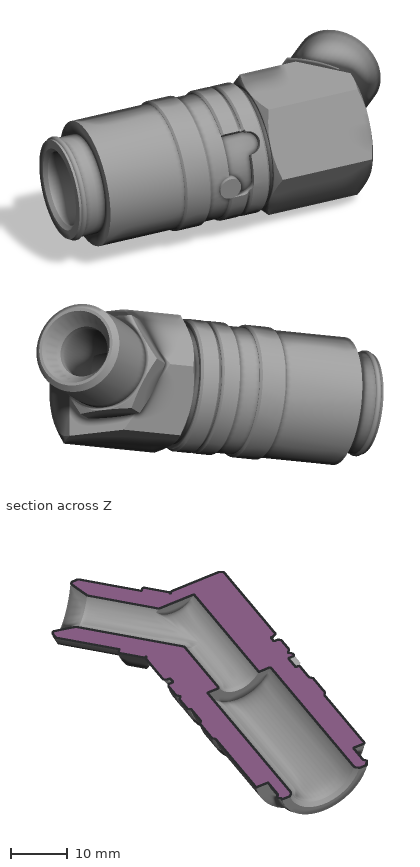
import cadquery as cq
import math


TOTAL_LENGTH = 66.55

BEAD_Y = 0.9
SPIGOT_END = 4.9
COLLAR_START = 19.2
COLLAR_END = 24.3
SLEEVE_START = 27.8
GROOVE_START = 31.5
GROOVE_END = 31.75
SLEEVE_END = 35.4
HEX_START = 36.4
HEX_END = 55.45

SPIGOT_R = 9.0
BODY_R = 11.3
COLLAR_DIAMETER = 23.5
COLLAR_R = COLLAR_DIAMETER / 2
WAIST_R = 11.25
CORE_R = 10.5
BEAD_R = 9.4
BEAD_WIRE_R = 0.5
EDGE_CHAMFER = 0.4

MOUTH_R = 7.4
SOCKET_R = 6.7
SOCKET_DEPTH = 29.95
PASSAGE_R = 4.5
PASSAGE_END = 52.65

BODY_FLATS = 21.95
NUT_FLATS = 17.0
HEX_SIDES = 6
HEX_CHAMFER_ANGLE = 30
BRANCH_ANGLE = 45
BEND_Y = 43.85
FACE_DISTANCE = 7.45
NUT_LENGTH = 5.1
BRANCH_R = 8.0
BRANCH_CHAMFER = 0.9
BRANCH_TIP_R = BRANCH_R - BRANCH_CHAMFER
TILT = math.radians(BRANCH_ANGLE)
BRANCH_LENGTH = (TOTAL_LENGTH - BEND_Y - BRANCH_TIP_R * math.sin(TILT)) / math.cos(TILT)
CONE_R = 6.5
CONE_DEPTH = 3.6

SLOT_HALF_WIDTH = 2.05
LOCK_ANGLE = 37
WINDOW_ANGLE = 49
ENTRY_TOP = 32.3
LOCK_TOP = 34.4
PIN_R = 2.0


def revolve_profile(points):
    """Turn (radius, height) points around the Y axis."""
    return cq.Workplane("XY").polyline(points).close().revolve(360, (0, 0, 0), (0, 1, 0))


def disc(radius, start, end):
    return revolve_profile([(0, start), (radius, start), (radius, end), (0, end)])


def chamfered_ring(start, end):
    """Collar-size disc whose two rims are bevelled."""
    rim_r = COLLAR_R - EDGE_CHAMFER
    return revolve_profile([
        (0, start),
        (rim_r, start),
        (COLLAR_R, start + EDGE_CHAMFER),
        (COLLAR_R, end - EDGE_CHAMFER),
        (rim_r, end),
        (0, end),
    ])


def chamfered_hex(flats, start, end):
    """Hexagon along Y, flats facing +Z and -Z, corners bevelled at both ends."""
    apothem = flats / 2
    corner_r = apothem / math.cos(math.pi / HEX_SIDES)
    bevel = (corner_r - apothem) * math.tan(math.radians(HEX_CHAMFER_ANGLE))
    prism = (
        cq.Workplane("XZ", origin=(0, start, 0))
        .polygon(HEX_SIDES, 2 * corner_r)
        .extrude(start - end)
    )
    envelope = revolve_profile([
        (0, start),
        (apothem, start),
        (corner_r, start + bevel),
        (corner_r, end - bevel),
        (apothem, end),
        (0, end),
    ])
    return prism.intersect(envelope)


def to_branch(shape):
    """Move a shape built along +Y from the origin onto the branch axis."""
    return shape.rotate((0, 0, 0), (0, 0, 1), BRANCH_ANGLE).translate((0, BEND_Y, 0))


def make_socket():
    socket = disc(SPIGOT_R, 0, SPIGOT_END)
    bead = (
        cq.Workplane("XY")
        .center(BEAD_R - BEAD_WIRE_R, BEAD_Y)
        .circle(BEAD_WIRE_R)
        .revolve(360, (BEAD_WIRE_R - BEAD_R, 0, 0), (BEAD_WIRE_R - BEAD_R, 1, 0))
    )
    return (
        socket.union(bead)
        .union(disc(BODY_R, SPIGOT_END, COLLAR_START))
        .union(chamfered_ring(COLLAR_START, COLLAR_END))
        .union(disc(WAIST_R, COLLAR_END, SLEEVE_START))
        .union(chamfered_ring(SLEEVE_START, GROOVE_START))
        .union(disc(WAIST_R, GROOVE_START, GROOVE_END))
        .union(chamfered_ring(GROOVE_END, SLEEVE_END))
        .union(disc(CORE_R, SLEEVE_END, HEX_START))
    )


def radial_slot(angle, top):
    """Round-topped slot running up from the sleeve edge, cut outwards at an angle from +X."""
    centre = top - SLOT_HALF_WIDTH
    slot = (
        cq.Workplane("YZ")
        .moveTo(SLEEVE_START, -SLOT_HALF_WIDTH)
        .lineTo(centre, -SLOT_HALF_WIDTH)
        .threePointArc((top, 0), (centre, SLOT_HALF_WIDTH))
        .lineTo(SLEEVE_START, SLOT_HALF_WIDTH)
        .close()
        .extrude(2 * COLLAR_R)
    )
    return slot.rotate((0, 0, 0), (0, 1, 0), -angle)


def make_bayonet_slot():
    """Entry slot at +X, lock slot turned towards +Z, and the wider window that joins them."""
    reach = 2 * COLLAR_R
    sweep = math.radians(WINDOW_ANGLE)
    window = (
        cq.Workplane("XZ", origin=(0, SLEEVE_START, 0))
        .polyline([(0, 0), (reach, 0), (reach * math.cos(sweep), reach * math.sin(sweep))])
        .close()
        .extrude(SLEEVE_START - ENTRY_TOP)
    )
    return (
        window.union(radial_slot(0, ENTRY_TOP))
        .union(radial_slot(LOCK_ANGLE, LOCK_TOP))
        .cut(disc(CORE_R, 0, HEX_END))
    )


def make_pin():
    return cq.Workplane("YZ").center(SLEEVE_START, 0).circle(PIN_R).extrude(COLLAR_R)


def make_elbow():
    """Hexagonal block cut off square to the branch axis."""
    beyond_face = cq.Workplane("XY").box(
        2 * HEX_END, HEX_END, HEX_END, centered=(True, False, True)
    )
    waste = to_branch(beyond_face.translate((0, FACE_DISTANCE, 0)))
    return chamfered_hex(BODY_FLATS, HEX_START, HEX_END).cut(waste)


def make_branch():
    nut = chamfered_hex(NUT_FLATS, FACE_DISTANCE, FACE_DISTANCE + NUT_LENGTH)
    nose = revolve_profile([
        (0, FACE_DISTANCE),
        (BRANCH_R, FACE_DISTANCE),
        (BRANCH_R, BRANCH_LENGTH - BRANCH_CHAMFER),
        (BRANCH_TIP_R, BRANCH_LENGTH),
        (0, BRANCH_LENGTH),
    ])
    return to_branch(nut.union(nose))


def make_socket_bore():
    mouth_depth = MOUTH_R - SOCKET_R
    return revolve_profile([
        (0, 0),
        (MOUTH_R, 0),
        (SOCKET_R, mouth_depth),
        (SOCKET_R, SOCKET_DEPTH),
        (PASSAGE_R, SOCKET_DEPTH),
        (PASSAGE_R, PASSAGE_END),
        (0, PASSAGE_END),
    ])


def make_branch_bore():
    """Bore from the axis crossing to a conical seat at the branch tip."""
    return to_branch(revolve_profile([
        (0, 0),
        (PASSAGE_R, 0),
        (PASSAGE_R, BRANCH_LENGTH - CONE_DEPTH),
        (CONE_R, BRANCH_LENGTH),
        (0, BRANCH_LENGTH),
    ]))


result = (
    make_socket()
    .cut(make_bayonet_slot())
    .union(make_pin())
    .union(make_elbow())
    .union(make_branch())
    .cut(make_socket_bore())
    .cut(make_branch_bore())
)